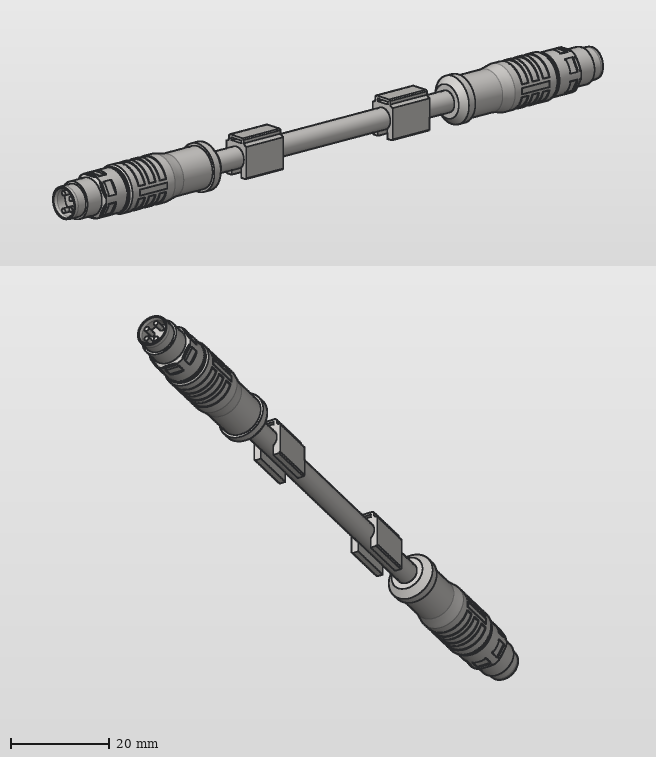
import cadquery as cq
import math


total_length = 145.2
cable_diameter = 4.6
cable_insertion = 1.5

bore_diameter = 5.8
lip_diameter = 6.2
nose_tip_diameter = 6.8
nose_diameter = 7.0
barrel_diameter = 8.0
groove_diameter = 9.1
sleeve_diameter = 9.6
tail_diameter = 9.1
grip_diameter = 10.3
tail_end_diameter = 7.3

bore_depth = 2.9
lip_length = 0.7
nose_end = 2.9
barrel_end = 6.8
sleeve_start = 7.3
groove_start = 13.2
groove_end = 13.8
grip_start = 14.2
grip_end = 25.8
taper_end = 28.7
collar_start = 36.7
collar_end = 38.5
tail_end = 40.0

pin_diameter = 1.0
pin_circle_diameter = 3.9
pin_places = 5
pin_recess = 0.5
pin_embedment = 0.7

window_count = 6
window_width = 3.2
window_start = 6.5
window_end = 10.2
window_depth = 0.5
tooth_start = 7.4
tooth_end = 8.1
tooth_height = 0.3

grip_groove_count = 3
grip_groove_pitch = 2.9
grip_groove_width = 1.7
grip_groove_depth = 0.22
first_grip_groove = 16.1
bar_land_width = 2.8
bar_width = 1.3
bar_start = 16.3
bar_end = 23.8
bar_depth = 0.1

clip_length = 10.2
clip_spacing = 40.2
clip_width = 6.1
clip_bottom = -4.0
clip_shoulder = 2.9
clip_top = 4.5
clip_top_width = 3.9
clip_neck = 3.5
clip_flute_sag = 0.07
clip_edge_chamfer = 0.3
clip_mouth_width = 2.9
label_slot_width = 3.0
label_slot_bottom = 3.3
label_slot_top = 3.9

cut_margin = 1.5

tip_y = -total_length / 2


def ring(outer_diameter, inner_diameter, start, end):
    """Tube around the Y axis between two stations."""
    return (
        cq.Workplane("XZ", origin=(0, tip_y + start, 0))
        .circle(outer_diameter / 2)
        .circle(inner_diameter / 2)
        .extrude(start - end)
    )


def rod(diameter, start, end):
    """Cylinder around the Y axis between two stations."""
    return cq.Workplane("XZ", origin=(0, tip_y + start, 0)).circle(diameter / 2).extrude(start - end)


def box(width, height, start, end, x, z):
    """Block of the given width along X and height along Z, centred on x and z, between two stations."""
    return (
        cq.Workplane("XY")
        .box(width, end - start, height)
        .translate((x, tip_y + (start + end) / 2, z))
    )


def connector_shell():
    """Turned outside of the connector with its open socket."""
    steps = [
        (bore_diameter, bore_depth),
        (bore_diameter, lip_length),
        (lip_diameter, 0),
        (nose_tip_diameter, 0),
        (nose_diameter, lip_length),
        (nose_diameter, nose_end),
        (barrel_diameter, nose_end),
        (barrel_diameter, barrel_end),
        (sleeve_diameter, sleeve_start),
        (sleeve_diameter, groove_start),
        (groove_diameter, groove_start),
        (groove_diameter, groove_end),
        (sleeve_diameter, groove_end),
        (grip_diameter, grip_start),
        (grip_diameter, grip_end),
        (tail_diameter, taper_end),
        (tail_diameter, collar_start),
        (grip_diameter, collar_start),
        (grip_diameter, collar_end),
        (tail_end_diameter, tail_end),
        (0, tail_end),
    ]
    outline = cq.Workplane("XY").moveTo(0, tip_y + bore_depth)
    for diameter, station in steps:
        outline = outline.lineTo(diameter / 2, tip_y + station)
    return outline.close().revolve(360, (0, 0, 0), (0, 1, 0))


def contact_pins():
    pitch = 360 / pin_places
    empty_place = pin_places // 2
    pins = cq.Workplane("XY")
    for place in range(pin_places):
        if place == empty_place:
            continue
        angle = pitch * (place + 0.5)
        x = pin_circle_diameter / 2 * math.cos(math.radians(angle))
        z = pin_circle_diameter / 2 * math.sin(math.radians(angle))
        pins = pins.union(rod(pin_diameter, pin_recess, bore_depth + pin_embedment).translate((x, 0, z)))
    return pins


def latch_windows():
    floor = sleeve_diameter / 2 - window_depth
    windows = cq.Workplane("XY")
    for i in range(window_count):
        window = box(window_width, cut_margin, window_start, window_end, 0, floor + cut_margin / 2)
        tooth = box(window_width, tooth_height, tooth_start, tooth_end, 0, floor + tooth_height / 2)
        window = window.cut(tooth)
        windows = windows.union(window.rotate((0, 0, 0), (0, 1, 0), 360 / window_count * i))
    return windows


def grip_grooves():
    inner = grip_diameter - 2 * grip_groove_depth
    grooves = cq.Workplane("XY")
    for i in range(grip_groove_count):
        start = first_grip_groove + i * grip_groove_pitch
        grooves = grooves.union(ring(grip_diameter + cut_margin, inner, start, start + grip_groove_width))
    land = box(2 * grip_diameter, bar_land_width, 0, tail_end, 0, 0)
    return grooves.cut(land)


def grip_bars():
    floor = grip_diameter / 2 - bar_depth
    bars = cq.Workplane("XY")
    for side in (-1, 1):
        bars = bars.union(box(cut_margin, bar_width, bar_start, bar_end, side * (floor + cut_margin / 2), 0))
    return bars


def connector():
    return connector_shell().union(contact_pins()).cut(latch_windows()).cut(grip_grooves()).cut(grip_bars())


def clip_profile():
    """Points of the +X half of the clip section, from the foot to the top."""
    half_width = clip_width / 2
    half_top = clip_top_width / 2
    half_neck = half_top + clip_edge_chamfer
    flute_middle = (
        (half_width + half_neck) / 2 - clip_flute_sag,
        (clip_shoulder + clip_neck) / 2 - clip_flute_sag,
    )
    return {
        "foot": (half_width - clip_edge_chamfer, clip_bottom),
        "side_bottom": (half_width, clip_bottom + clip_edge_chamfer),
        "side_top": (half_width, clip_shoulder),
        "flute_middle": flute_middle,
        "neck": (half_neck, clip_neck),
        "top_side": (half_neck, clip_top - clip_edge_chamfer),
        "top": (half_top, clip_top),
    }


def clip():
    """Clip centred on the cable, with a label slot along its top and a mouth below the cable."""
    p = clip_profile()
    half = (
        cq.Workplane("XZ", origin=(0, clip_length / 2, 0))
        .moveTo(0, clip_bottom)
        .lineTo(*p["foot"])
        .lineTo(*p["side_bottom"])
        .lineTo(*p["side_top"])
        .threePointArc(p["flute_middle"], p["neck"])
        .lineTo(*p["top_side"])
        .lineTo(*p["top"])
        .lineTo(0, clip_top)
        .close()
        .extrude(clip_length)
    )
    body = half.union(half.mirror("YZ"))
    mouth = cq.Workplane("XY").box(clip_mouth_width, clip_length, -clip_bottom)
    slot = cq.Workplane("XY").box(label_slot_width, clip_length, label_slot_top - label_slot_bottom)
    body = body.cut(mouth.translate((0, 0, clip_bottom / 2)))
    return body.cut(slot.translate((0, 0, (label_slot_bottom + label_slot_top) / 2)))


front_connector = connector()
cable = rod(cable_diameter, tail_end - cable_insertion, total_length - tail_end + cable_insertion)
result = cable.union(front_connector).union(front_connector.mirror("XZ"))
for side in (-1, 1):
    result = result.union(clip().translate((0, side * clip_spacing / 2, 0)))